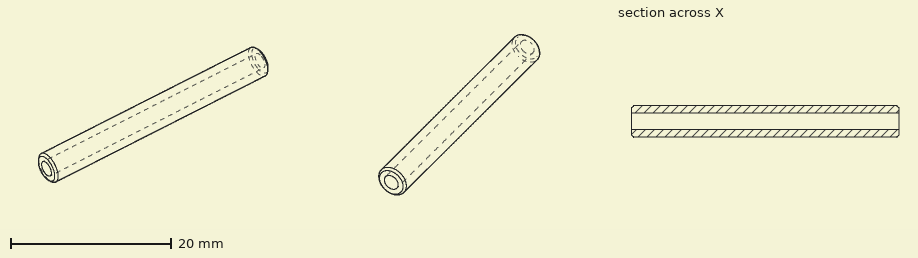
import cadquery as cq

length = 33.4
outer_diameter = 4.0
bore_diameter = 2.0
end_chamfer = 0.3

end_plane = cq.Workplane("XZ", origin=(0, length / 2, 0))

rod = (
    end_plane.circle(outer_diameter / 2)
    .extrude(length)
    .faces("<Y or >Y")
    .edges()
    .chamfer(end_chamfer)
)

bore = end_plane.circle(bore_diameter / 2).extrude(length)

result = rod.cut(bore)